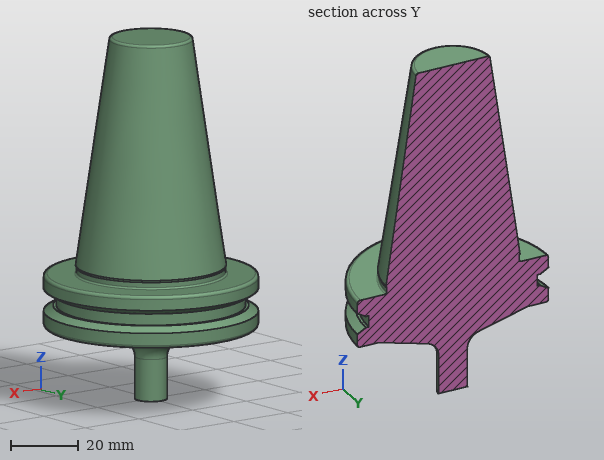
import cadquery as cq
import math

total_height = 109.3
pin_blend_start = 12.8
flange_bottom = 22.0
flange_top = 37.8
groove_floor_bottom = 28.2
groove_floor_height = 3.6
groove_wall_height = 1.6
neck_top = 39.8
taper_bottom = 40.4

pin_radius = 9.6 / 2
flange_radius = 63.5 / 2
groove_radius = 56.0 / 2
neck_radius = 44.0 / 2
taper_large_radius = 44.6 / 2

flange_fillet = 1.0
neck_fillet = 0.5
tip_fillet = 0.9
pin_blend_radius = 5.0
underside_angle = math.radians(15)
groove_wall_angle = math.radians(30)
taper_ratio = 7 / 24

blend_center_radius = pin_radius + pin_blend_radius


def blend_point(angle):
    """Point on the blend, with the angle measured from the pin's tangent point."""
    return (
        blend_center_radius - pin_blend_radius * math.cos(angle),
        pin_blend_start + pin_blend_radius * math.sin(angle),
    )


blend_sweep = math.pi / 2 - underside_angle
blend_middle = blend_point(blend_sweep / 2)
blend_end = blend_point(blend_sweep)
underside_radius = blend_end[0] + (flange_bottom - blend_end[1]) / math.tan(underside_angle)

groove_floor_top = groove_floor_bottom + groove_floor_height
groove_ledge_radius = flange_radius - groove_wall_height / math.tan(groove_wall_angle)

neck_fillet_middle = (
    neck_radius + neck_fillet * (1 - math.cos(math.pi / 4)),
    flange_top + neck_fillet * (1 - math.sin(math.pi / 4)),
)

tip_radius = taper_large_radius - (total_height - taper_bottom) * taper_ratio / 2

profile = (
    cq.Workplane("XZ")
    .moveTo(0, 0)
    .lineTo(pin_radius, 0)
    .lineTo(pin_radius, pin_blend_start)
    .threePointArc(blend_middle, blend_end)
    .lineTo(underside_radius, flange_bottom)
    .lineTo(flange_radius - flange_fillet, flange_bottom)
    .tangentArcPoint((flange_radius, flange_bottom + flange_fillet), relative=False)
    .lineTo(flange_radius, groove_floor_bottom - groove_wall_height)
    .lineTo(groove_ledge_radius, groove_floor_bottom)
    .lineTo(groove_radius, groove_floor_bottom)
    .lineTo(groove_radius, groove_floor_top)
    .lineTo(groove_ledge_radius, groove_floor_top)
    .lineTo(flange_radius, groove_floor_top + groove_wall_height)
    .lineTo(flange_radius, flange_top - flange_fillet)
    .tangentArcPoint((flange_radius - flange_fillet, flange_top), relative=False)
    .lineTo(neck_radius + neck_fillet, flange_top)
    .threePointArc(neck_fillet_middle, (neck_radius, flange_top + neck_fillet))
    .lineTo(neck_radius, neck_top)
    .lineTo(taper_large_radius, taper_bottom)
    .lineTo(tip_radius, total_height)
    .lineTo(0, total_height)
    .close()
)

body = profile.revolve(360, (0, 0, 0), (0, 1, 0))

result = body.faces(">Z").edges().fillet(tip_fillet)